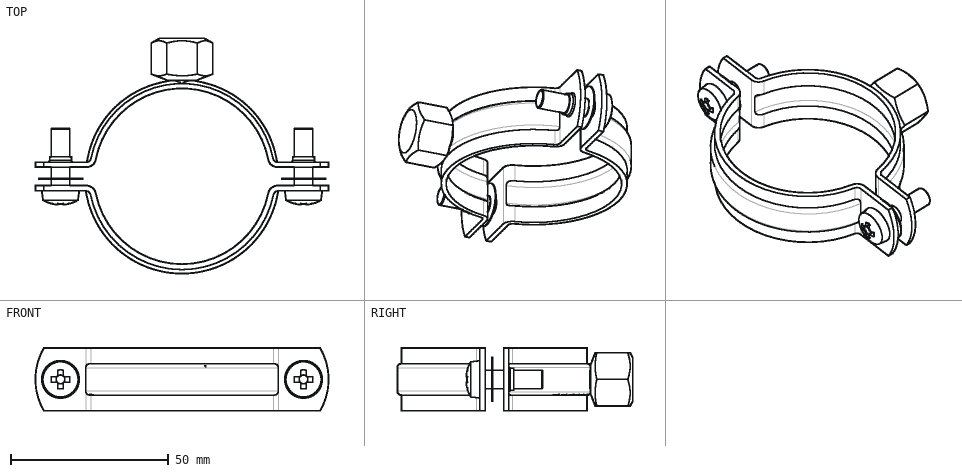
import cadquery as cq
import math

overall_length = 93.3
band_width = 20.0
pipe_radius = 27.9
joint_gap = 5.8
bend_radius = 1.5
ear_corner_x = 43.9

upper_thickness = 1.6
upper_bead_height = 1.1
lower_thickness = 1.8
lower_bead_height = 1.3
bead_width = 10.0
bead_root_depth = 0.7
groove_width = 8.8
groove_depth = 1.3

nut_across_flats = 17.0
nut_top_y = 43.9
nut_seat_radius = 4.9
nut_seat_chamfer_height = 1.9
nut_top_radius = 7.0
nut_top_chamfer_height = 1.6

screw_x = 38.6
screw_radius = 3.0
screw_tip_y = 15.3
tip_chamfer = 0.3
head_radius = 6.0
head_rim_radius = 5.6
head_rim_height = 2.9
head_height = 4.5
recess_span = 6.3
recess_arm_width = 1.7
recess_core_radius = 1.4
recess_depth = 2.05
recess_core_drop = 0.3
collar_diameter = 7.0
collar_flare = 0.4
collar_height = 1.7
flare_height = 0.6
washer_radius = 7.0
washer_thickness = 0.3
washer_y = -0.7

half_length = overall_length / 2
half_width = band_width / 2
collar_radius = collar_diameter / 2
ear_inner_y = joint_gap / 2
upper_ear_y = ear_inner_y + upper_thickness
lower_ear_y = ear_inner_y + lower_thickness
upper_bead_radius = pipe_radius + upper_thickness + upper_bead_height


def turned(points):
    """Solid of revolution about Y from (radius, y) points; the axis closes the outline."""
    return cq.Workplane("XY").polyline(points).close().revolve(360, (0, 0, 0), (0, 1, 0))


def bead_ring(base_radius, height, width):
    """Ring with its outer edges rounded to quarter circles, standing `height` above base_radius."""
    half = width / 2
    root_radius = base_radius - bead_root_depth
    top_radius = base_radius + height
    diagonal = height * math.sqrt(0.5)
    return (
        cq.Workplane("XZ")
        .moveTo(root_radius, -half)
        .lineTo(base_radius, -half)
        .threePointArc((base_radius + diagonal, -half + height - diagonal), (top_radius, -half + height))
        .lineTo(top_radius, half - height)
        .threePointArc((base_radius + diagonal, half - height + diagonal), (base_radius, half))
        .lineTo(root_radius, half)
        .close()
        .revolve(360, (0, 0, 0), (0, 1, 0))
    )


def clamp_half(thickness, bead_height):
    """Half ring with two ears, built on the +Y side of the joint."""
    outer_radius = pipe_radius + thickness
    ear_outer_y = ear_inner_y + thickness

    bend_y = ear_outer_y + bend_radius
    bend_reach = outer_radius + bend_radius
    bend_x = math.sqrt(bend_reach**2 - bend_y**2)
    ring_angle = math.atan2(bend_y, bend_x)
    bend_angle = (math.pi + ring_angle + 3 * math.pi / 2) / 2

    def on_ring(radius, side):
        return (side * radius * math.cos(ring_angle), radius * math.sin(ring_angle))

    def on_bend(radius, side):
        return (side * (bend_x + radius * math.cos(bend_angle)), bend_y + radius * math.sin(bend_angle))

    inner_bend_radius = bend_radius + thickness
    sheet = (
        cq.Workplane("XY")
        .workplane(offset=-half_width)
        .moveTo(-half_length, ear_inner_y)
        .lineTo(-bend_x, ear_inner_y)
        .threePointArc(on_bend(inner_bend_radius, -1), on_ring(pipe_radius, -1))
        .threePointArc((0, pipe_radius), on_ring(pipe_radius, 1))
        .threePointArc(on_bend(inner_bend_radius, 1), (bend_x, ear_inner_y))
        .lineTo(half_length, ear_inner_y)
        .lineTo(half_length, ear_outer_y)
        .lineTo(bend_x, ear_outer_y)
        .threePointArc(on_bend(bend_radius, 1), on_ring(outer_radius, 1))
        .threePointArc((0, outer_radius), on_ring(outer_radius, -1))
        .threePointArc(on_bend(bend_radius, -1), (-bend_x, ear_outer_y))
        .lineTo(-half_length, ear_outer_y)
        .close()
        .extrude(band_width)
    )
    rounded_outline = (
        cq.Workplane("XZ")
        .moveTo(-ear_corner_x, -half_width)
        .lineTo(ear_corner_x, -half_width)
        .threePointArc((half_length, 0), (ear_corner_x, half_width))
        .lineTo(-ear_corner_x, half_width)
        .threePointArc((-half_length, 0), (-ear_corner_x, -half_width))
        .close()
        .extrude(-half_length)
    )
    beyond_joint = cq.Workplane("XY").box(overall_length, overall_length, band_width)
    beyond_joint = beyond_joint.translate((0, overall_length / 2, 0))
    beyond_ear = beyond_joint.translate((0, ear_outer_y, 0))
    bead = bead_ring(outer_radius, bead_height, bead_width).intersect(beyond_ear)
    groove = bead_ring(pipe_radius, groove_depth, groove_width).intersect(beyond_joint)
    return sheet.intersect(rounded_outline).union(bead).cut(groove)


def connection_nut():
    """Hexagon nut with corners on X, chamfered at both ends, seated on the upper bead."""
    across_corners = nut_across_flats / math.cos(math.pi / 6)
    corner_radius = across_corners / 2
    stem_y = upper_bead_radius - upper_bead_height
    prism = (
        cq.Workplane("XZ", origin=(0, stem_y, 0))
        .polygon(6, across_corners)
        .extrude(stem_y - nut_top_y)
    )
    envelope = turned([
        (0, stem_y),
        (nut_seat_radius, stem_y),
        (nut_seat_radius, upper_bead_radius),
        (corner_radius, upper_bead_radius + nut_seat_chamfer_height),
        (corner_radius, nut_top_y - nut_top_chamfer_height),
        (nut_top_radius, nut_top_y),
        (0, nut_top_y),
    ])
    return prism.intersect(envelope)


def cross_recess(head_top_y):
    """Cross-shaped driver recess: four arms sloping down towards a round core left standing."""
    floor_y = head_top_y + recess_depth
    cone = turned([
        (0, head_top_y),
        (recess_span / 2, head_top_y),
        (recess_span / 2, head_top_y + recess_core_drop),
        (recess_core_radius, floor_y),
        (0, floor_y),
    ])
    plane = cq.Workplane("XZ", origin=(0, head_top_y, 0))
    cross = (
        plane.rect(recess_span, recess_arm_width).extrude(-recess_depth)
        .union(plane.rect(recess_arm_width, recess_span).extrude(-recess_depth))
        .union(plane.circle(recess_core_radius).extrude(-recess_depth))
    )
    core_top_y = head_top_y + recess_core_drop
    core = cq.Workplane("XZ", origin=(0, core_top_y, 0)).circle(recess_core_radius).extrude(-recess_depth)
    return cone.intersect(cross).cut(core)


def screw():
    """Screw with domed head, retaining washer and the collar on the upper ear."""
    seat_y = -lower_ear_y
    rim_y = seat_y - head_rim_height
    head_top_y = seat_y - head_height
    dome_height = head_height - head_rim_height
    dome_radius = (head_rim_radius**2 + dome_height**2) / (2 * dome_height)
    dome_mid_radius = head_rim_radius / 2
    dome_mid_y = head_top_y + dome_radius - math.sqrt(dome_radius**2 - dome_mid_radius**2)
    body = (
        cq.Workplane("XY")
        .moveTo(0, head_top_y)
        .threePointArc((dome_mid_radius, dome_mid_y), (head_rim_radius, rim_y))
        .lineTo(head_radius, seat_y)
        .lineTo(screw_radius, seat_y)
        .lineTo(screw_radius, screw_tip_y - tip_chamfer)
        .lineTo(screw_radius - tip_chamfer, screw_tip_y)
        .lineTo(0, screw_tip_y)
        .close()
        .revolve(360, (0, 0, 0), (0, 1, 0))
    )
    washer = cq.Workplane("XZ", origin=(0, washer_y + washer_thickness / 2, 0))
    washer = washer.circle(washer_radius).extrude(washer_thickness)
    collar = turned([
        (0, upper_ear_y),
        (collar_radius + collar_flare, upper_ear_y),
        (collar_radius, upper_ear_y + flare_height),
        (collar_radius, upper_ear_y + collar_height),
        (0, upper_ear_y + collar_height),
    ])
    return body.cut(cross_recess(head_top_y)).union(washer).union(collar)


upper_half = clamp_half(upper_thickness, upper_bead_height)
lower_half = clamp_half(lower_thickness, lower_bead_height).mirror("XZ")

result = upper_half.union(connection_nut()).union(lower_half)
for side in (-1, 1):
    result = result.union(screw().translate((side * screw_x, 0, 0)))